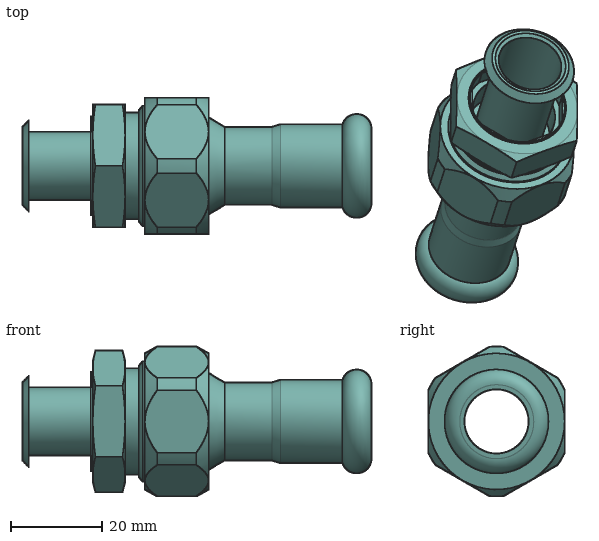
import cadquery as cq
import math

total_length = 76.7
through_bore = 14.0

tube_diameter = 15.0
mouth_diameter = 15.7
flare_small_diameter = 17.2
flare_large_diameter = 20.1
flare_length = 1.45
mouth_depth = 0.45

collar_start = 15.0
collar_diameter = 21.8
body_hex_start = 15.5
body_hex_end = 22.55
body_across_flats = 27.0
body_chamfer_diameter = 27.0
body_chamfer_slope = math.tan(math.radians(15))

neck_diameter = 23.5
ring_start = 25.55
ring_small_diameter = 24.4
ring_diameter = 26.45
ring_chamfer = 0.85

socket_mouth_diameter = 21.5
socket_mouth_chamfer = 0.2
socket_across_flats = 20.1
socket_corner_diameter = 21.2
socket_depth = 3.8
socket_bore_diameter = 18.3
socket_bore_end = ring_start

nut_start = 26.85
nut_end = 40.95
nut_across_flats = 30.0
nut_corner_diameter = 33
nut_chamfer_diameter = 29.9
nut_chamfer_length = 2.75

cone_diameter = 21.3
cone_end = 44.4
shank_diameter = 17.2
step_start = 54.8
step_end = 56.6
press_diameter = 18.3
bead_start = 70.1
bead_diameter = 22.85
bead_radius = (total_length - bead_start) / 2


def cylinder(start, end, diameter):
    """Round bar along X between two stations."""
    return cq.Workplane("YZ", origin=(start, 0, 0)).circle(diameter / 2).extrude(end - start)


def cone(start, end, start_diameter, end_diameter):
    """Solid truncated cone along X."""
    profile = [(start, 0), (start, start_diameter / 2), (end, end_diameter / 2), (end, 0)]
    return cq.Workplane("XY").polyline(profile).close().revolve(360, (0, 0, 0), (1, 0, 0))


def hexagon(start, end, across_flats):
    """Hexagonal bar along X with corners pointing up and down."""
    across_corners = across_flats / math.cos(math.pi / 6)
    bar = cq.Workplane("YZ").polygon(6, across_corners).extrude(end - start)
    return bar.rotate((0, 0, 0), (1, 0, 0), 90).translate((start, 0, 0))


def chamfered_hexagon(start, end, across_flats, face_diameter, full_diameter, chamfer_length):
    """Hexagonal bar whose corners are turned down by a cone at each end."""
    envelope = (
        cone(start, start + chamfer_length, face_diameter, full_diameter)
        .union(cylinder(start + chamfer_length, end - chamfer_length, full_diameter))
        .union(cone(end - chamfer_length, end, full_diameter, face_diameter))
    )
    return hexagon(start, end, across_flats).intersect(envelope)


def make_body():
    corner_diameter = body_across_flats / math.cos(math.pi / 6)
    chamfer_length = (corner_diameter - body_chamfer_diameter) / 2 * body_chamfer_slope
    body = chamfered_hexagon(
        body_hex_start, body_hex_end, body_across_flats,
        body_chamfer_diameter, corner_diameter, chamfer_length,
    )
    return (
        body.union(cylinder(collar_start, body_hex_start, collar_diameter))
        .union(cylinder(body_hex_end, ring_start, neck_diameter))
        .union(cone(ring_start, ring_start + ring_chamfer, ring_small_diameter, ring_diameter))
        .union(cylinder(ring_start + ring_chamfer, nut_start, ring_diameter))
    )


def make_socket():
    """Hexagonal key socket with rounded corners, opening into a round bore."""
    mouth_end = collar_start + socket_mouth_chamfer
    hex_end = collar_start + socket_depth
    key_hole = hexagon(collar_start, hex_end, socket_across_flats).intersect(
        cylinder(collar_start, hex_end, socket_corner_diameter)
    )
    return (
        key_hole.union(cone(collar_start, mouth_end, socket_mouth_diameter, socket_corner_diameter))
        .union(cylinder(hex_end, socket_bore_end, socket_bore_diameter))
    )


def make_nut():
    return chamfered_hexagon(
        nut_start, nut_end, nut_across_flats,
        nut_chamfer_diameter, nut_corner_diameter, nut_chamfer_length,
    )


def make_tube():
    flare = cone(0, flare_length, flare_small_diameter, flare_large_diameter)
    return flare.union(cylinder(flare_length, nut_start, tube_diameter))


def make_press_end():
    bead_centre = total_length - bead_radius
    rim_radius = bead_diameter / 2 - bead_radius
    bead = (
        cq.Workplane("XY")
        .moveTo(bead_start, 0)
        .lineTo(bead_start, rim_radius)
        .threePointArc((bead_centre, bead_diameter / 2), (total_length, rim_radius))
        .lineTo(total_length, 0)
        .close()
        .revolve(360, (0, 0, 0), (1, 0, 0))
    )
    return (
        cone(nut_end, cone_end, cone_diameter, shank_diameter)
        .union(cylinder(cone_end, step_start, shank_diameter))
        .union(cone(step_start, step_end, shank_diameter, press_diameter))
        .union(cylinder(step_end, bead_centre, press_diameter))
        .union(bead)
    )


housing = make_body().cut(make_socket())
outside = housing.union(make_tube()).union(make_nut()).union(make_press_end())
mouth = cone(0, mouth_depth, mouth_diameter, through_bore)
result = outside.cut(cylinder(0, total_length, through_bore)).cut(mouth)